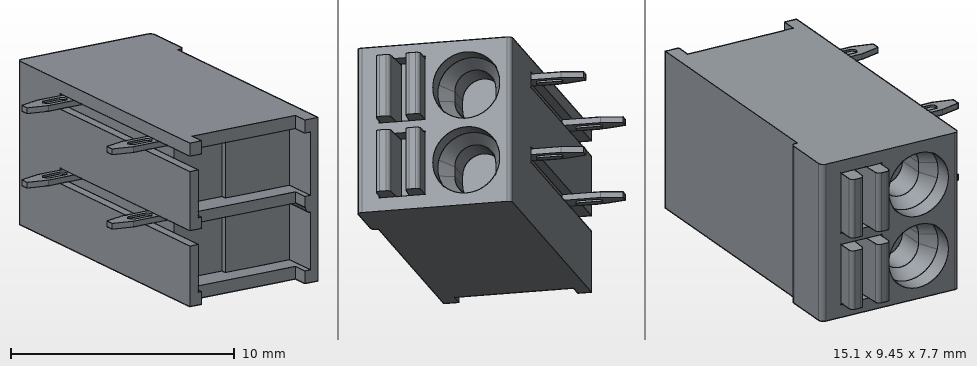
import cadquery as cq
import math


overall_length = 15.05
overall_width = 9.45
button_reach = 0.83
housing_length = overall_length - button_reach
housing_width = 7.15
housing_height = 7.7
rail_length = 2.65
rail_step = 0.32
rail_radius = 0.24
edge_radius = 0.21

pole_pitch = 3.5
lower_ceiling = 3.58
pole_ceilings = [lower_ceiling, lower_ceiling + pole_pitch]

notch_depth = 0.78
notch_y_min = 0.63
notch_y_max = 6.13
chamber_start = 12.22
chamber_y_min = 0.45
chamber_y_max = 6.43
chamber_height = 2.98
stop_thickness = 0.27
stop_y_min = 3.01
bead_radius = 0.27

slot_start = 3.49
slot_height = 0.72
slot_depth = chamber_y_min

pin_positions = [4.14, 11.17]
pin_length = overall_width - housing_width
pin_straight = 1.32
pin_width = 0.92
pin_tip_width = 0.44
pin_thickness = 0.27
pin_top_gap = 0.03
pin_root = 0.68
emboss_width = 0.44
emboss_length = 1.22
emboss_depth = 0.09
emboss_gap = 0.08

funnel_y = 2.09
funnel_z_offset = -1.49
funnel_diameter = 3.1
funnel_straight = 0.9
funnel_cone_end = 1.61
funnel_depth = 3.01
throat_width = 1.9
throat_height = 2.36

pocket_y_min = 3.99
pocket_y_max = 6.13
pocket_height = 2.96
pocket_depth = 0.9
button_clearance = 0.05
button_height = pocket_height - 2 * button_clearance
button_width = 0.77
button_taper = 0.09
button_round = 0.2
pocket_z_offset = -1.47


def box(x_min, x_max, y_min, y_max, z_min, z_max):
    size = (x_max - x_min, y_max - y_min, z_max - z_min)
    return cq.Workplane("XY").box(*size, centered=False).translate((x_min, y_min, z_min))


def make_housing():
    main_width = housing_width - rail_step
    outline = (
        cq.Workplane("XY")
        .moveTo(edge_radius, 0)
        .lineTo(housing_length, 0)
        .lineTo(housing_length, main_width)
        .lineTo(rail_length, main_width)
        .lineTo(rail_length, housing_width - rail_radius)
        .radiusArc((rail_length - rail_radius, housing_width), -rail_radius)
        .lineTo(rail_radius, housing_width)
        .radiusArc((0, housing_width - rail_radius), -rail_radius)
        .lineTo(0, edge_radius)
        .radiusArc((edge_radius, 0), -edge_radius)
        .close()
    )
    notch = box(housing_length - notch_depth, housing_length, notch_y_min, notch_y_max, 0, housing_height)
    return outline.extrude(housing_height).cut(notch)


def make_chamber(ceiling):
    """Rear chamber with a bevelled ledge left standing on its end wall."""
    floor = ceiling - chamber_height
    chamber = box(chamber_start, housing_length, chamber_y_min, chamber_y_max, floor, ceiling)
    ledge = (
        cq.Workplane("XZ", origin=(chamber_start, chamber_y_max, ceiling))
        .lineTo(stop_thickness, -stop_thickness)
        .lineTo(stop_thickness, -chamber_height)
        .lineTo(0, -chamber_height)
        .close()
        .extrude(chamber_y_max - stop_y_min)
    )
    return chamber.cut(ledge)


def make_bead():
    """Quarter-round bead along the far upper corner of the lower chamber."""
    return (
        cq.Workplane("YZ", origin=(chamber_start, chamber_y_max, lower_ceiling))
        .lineTo(-bead_radius, 0)
        .radiusArc((0, -bead_radius), -bead_radius)
        .close()
        .extrude(housing_length - chamber_start)
    )


def make_slot(ceiling):
    return box(slot_start, housing_length, 0, slot_depth, ceiling - slot_height, ceiling)


def make_funnel(ceiling):
    """Round mouth that narrows to an upright oval throat with a flat end."""
    def plane_at(x):
        return cq.Workplane("YZ", origin=(x, funnel_y, ceiling + funnel_z_offset))

    radius = funnel_diameter / 2
    mouth = plane_at(0).circle(radius).extrude(funnel_straight)

    corner_angle = math.atan2(throat_height - throat_width, throat_width)
    corner_y = radius * math.cos(corner_angle)
    corner_z = radius * math.sin(corner_angle)
    cone = (
        plane_at(funnel_straight)
        .moveTo(-corner_y, -corner_z)
        .threePointArc((0, -radius), (corner_y, -corner_z))
        .threePointArc((radius, 0), (corner_y, corner_z))
        .threePointArc((0, radius), (-corner_y, corner_z))
        .threePointArc((-radius, 0), (-corner_y, -corner_z))
        .close()
        .workplane(offset=funnel_cone_end - funnel_straight)
        .slot2D(throat_height, throat_width, 90)
        .loft(ruled=True)
    )
    throat = (
        plane_at(funnel_cone_end)
        .slot2D(throat_height, throat_width, 90)
        .extrude(funnel_depth - funnel_cone_end)
    )
    return mouth.union(cone).union(throat)


def make_pocket(ceiling):
    center_z = ceiling + pocket_z_offset
    half = pocket_height / 2
    return box(0, pocket_depth, pocket_y_min, pocket_y_max, center_z - half, center_z + half)


def make_button(ceiling, outer_y, inward):
    """One button; its straight side is at outer_y, its tapered side faces inward (+1 or -1 in Y)."""
    bottom = ceiling + pocket_z_offset - button_height / 2
    inner_y = outer_y + inward * button_width
    tip_inner_y = inner_y - inward * button_taper
    shoulder_x = button_round - button_reach
    return (
        cq.Workplane("XY", origin=(0, 0, bottom))
        .moveTo(pocket_depth, outer_y)
        .lineTo(shoulder_x, outer_y)
        .radiusArc((-button_reach, outer_y + inward * button_round), inward * button_round)
        .lineTo(-button_reach, tip_inner_y - inward * button_round)
        .radiusArc((shoulder_x, tip_inner_y), inward * button_round)
        .lineTo(pocket_depth, inner_y)
        .close()
        .extrude(button_height)
    )


def make_pin(ceiling, pin_x):
    bottom = ceiling - pin_top_gap - pin_thickness
    blade = (
        cq.Workplane("XY", origin=(pin_x, 0, bottom))
        .polyline([
            (-pin_width / 2, pin_root),
            (-pin_width / 2, -pin_straight),
            (-pin_tip_width / 2, -pin_length),
            (pin_tip_width / 2, -pin_length),
            (pin_width / 2, -pin_straight),
            (pin_width / 2, pin_root),
        ])
        .close()
        .extrude(pin_thickness)
    )
    emboss = (
        cq.Workplane("XY", origin=(pin_x, -emboss_gap - emboss_length / 2, bottom - emboss_depth))
        .slot2D(emboss_length, emboss_width, 90)
        .extrude(emboss_depth)
    )
    hollow = emboss.translate((0, 0, pin_thickness))
    return blade.union(emboss).cut(hollow)


result = make_housing()
for ceiling in pole_ceilings:
    for make_cut in (make_chamber, make_slot, make_funnel, make_pocket):
        result = result.cut(make_cut(ceiling))
result = result.union(make_bead())

for ceiling in pole_ceilings:
    result = result.union(make_button(ceiling, pocket_y_max - button_clearance, -1))
    result = result.union(make_button(ceiling, pocket_y_min + button_clearance, 1))
    for pin_x in pin_positions:
        result = result.union(make_pin(ceiling, pin_x))